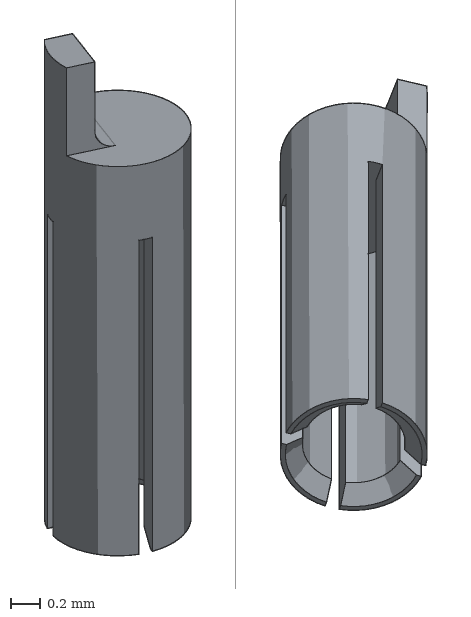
import cadquery as cq

body_diameter = 1.0
body_length = 3.1
slot_width = 0.1
slot_length = 2.5

bore_diameter = 0.7
mouth_diameter = 0.93
bore_depth = slot_length

tail_length = 0.7
tail_width = 0.4
tail_thickness = 0.25
root_fillet_radius = 0.15

body_radius = body_diameter / 2
total_length = body_length + tail_length


def make_body():
    """Round body with its lower end at Z = 0."""
    return cq.Workplane("XY").circle(body_radius).extrude(body_length)


def make_tail():
    """Flat tail with a filleted root, its outer face following the body's round side."""
    inner_face_y = tail_thickness - body_radius
    profile = (
        cq.Workplane("YZ", origin=(-tail_width / 2, 0, 0))
        .moveTo(-body_radius, 0)
        .lineTo(inner_face_y + root_fillet_radius, 0)
        .lineTo(inner_face_y + root_fillet_radius, body_length)
        .radiusArc((inner_face_y, body_length + root_fillet_radius), root_fillet_radius)
        .lineTo(inner_face_y, total_length)
        .lineTo(-body_radius, total_length)
        .close()
    )
    envelope = cq.Workplane("XY").circle(body_radius).extrude(total_length)
    return profile.extrude(tail_width).intersect(envelope)


def make_slots():
    """Two crossing slots that split the lower end into four fingers."""
    along_x = cq.Workplane("XY").rect(body_diameter, slot_width).extrude(slot_length)
    along_y = cq.Workplane("XY").rect(slot_width, body_diameter).extrude(slot_length)
    return along_x.union(along_y)


def make_bore():
    """Blind bore from the lower end, widened at its mouth by the lead-in cone."""
    bore_radius = bore_diameter / 2
    mouth_radius = mouth_diameter / 2
    lead_in = mouth_radius - bore_radius
    profile = (
        cq.Workplane("XZ")
        .lineTo(mouth_radius, 0)
        .lineTo(bore_radius, lead_in)
        .lineTo(bore_radius, bore_depth)
        .lineTo(0, bore_depth)
        .close()
    )
    return profile.revolve(360, (0, 0, 0), (0, 1, 0))


result = make_body().union(make_tail()).cut(make_bore()).cut(make_slots())